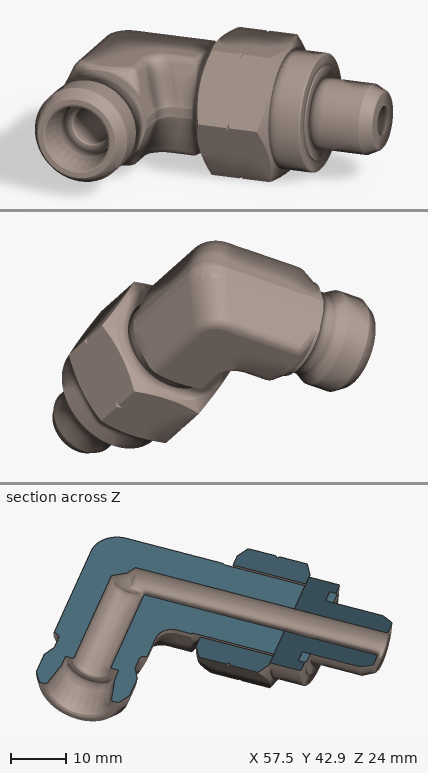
import cadquery as cq
import math


OVERALL_LENGTH = 57.5

BODY_WIDTH = 18.0
BODY_HEIGHT = 19.0
SIDE_FLAT = 1.9
SIDE_LEAN = 20.7
OUTER_CORNER_RADIUS = 5.0
INNER_CORNER_RADIUS = 3.0
LONG_EDGE_RADIUS = 1.7
RUN_SHOULDER_X = 14.95
BRANCH_SHOULDER_Y = -16.9
RUN_NECK_DIAMETER = 17.55
RUN_CHAMFER_ANGLE = 30.0
BRANCH_CHAMFER_ANGLE = 48.0
BRANCH_COLLAR_LENGTH = 0.6
BRANCH_BLEND_RADIUS = 1.7

BRANCH_END_Y = -29.0
THREAD_DIAMETER = 18.0
SPIGOT_NECK_DIAMETER = 15.6
SPIGOT_FILLET = 0.9
SPIGOT_NECK_END_Y = -20.1
THREAD_START_Y = -22.3
THREAD_END_Y = -26.75
SPIGOT_FACE_DIAMETER = 15.05
SPIGOT_FACE_ROUNDING = 0.26
SPIGOT_FLARE_RADIUS = 0.5

SEAT_RIM_DIAMETER = 13.1
SEAT_MOUTH_DIAMETER = 12.3
SEAT_RIM_DEPTH = 0.25
SEAT_FLOOR_DIAMETER = 10.2
SEAT_HALF_ANGLE = 12.0
SEAT_FLOOR_Y = -21.55
BORE_RIM_CHAMFER = 0.25
BRANCH_BORE_DIAMETER = 7.0
RUN_BORE_DIAMETER = 5.5
DRILL_TIP_HALF_ANGLE = 59.0
BRANCH_BORE_STOP_Y = -0.45

NUT_START_X = 16.5
NUT_END_X = 30.6
NUT_ACROSS_FLATS = 24.0
NUT_BORE_DIAMETER = 18.2
NUT_FACE_DIAMETER = 23.0
NUT_CHAMFER_ANGLE = 30.0
NOTCH_DEPTH = 0.43
NOTCH_HALF_WIDTH = 0.35

COLLAR_DIAMETER = 21.95
COLLAR_END_X = 36.5
COLLAR_EDGE_RADIUS = 0.35
STUD_DIAMETER = 13.1
STUD_TIP_DIAMETER = 11.1
STUD_FACE_DIAMETER = 10.6
STUD_FACE_ROUNDING = 0.25
STUD_CHAMFER_START_X = 46.25
STUD_END_X = OVERALL_LENGTH - BODY_WIDTH / 2
SEAL_DIAMETER = 17.4
SEAL_THICKNESS = 1.5
SEAL_PROUD = 0.3

SELECTION_MARGIN = 0.05
CUTTER_RADIUS = 13.8


def turned_on_x(points):
    """Revolve (x, radius) points about the run axis."""
    return cq.Workplane("XY").polyline(points).close().revolve(360, (0, 0), (1, 0))


def turned_on_y(points):
    """Revolve (radius, y) points about the branch axis."""
    return cq.Workplane("XY").polyline(points).close().revolve(360, (0, 0), (0, 1))


def tan_degrees(angle):
    return math.tan(math.radians(angle))


def bend_outline(height, inset):
    """L outline at one height, round at the inner corner, with its sides moved in by the inset."""
    half_width = BODY_WIDTH / 2 - inset
    inner_tangent = half_width + INNER_CORNER_RADIUS
    return (
        cq.Workplane("XY", origin=(0, 0, height))
        .moveTo(-half_width, BRANCH_SHOULDER_Y)
        .lineTo(-half_width, half_width)
        .lineTo(RUN_SHOULDER_X, half_width)
        .lineTo(RUN_SHOULDER_X, -half_width)
        .lineTo(inner_tangent, -half_width)
        .tangentArcPoint((half_width, -inner_tangent), relative=False)
        .lineTo(half_width, BRANCH_SHOULDER_Y)
        .close()
    )


def elbow_bend():
    """L-shaped bend with upright flats, sides leaning in above and below, and rounded long edges."""
    half_height = BODY_HEIGHT / 2
    half_flat = SIDE_FLAT / 2
    top_inset = (half_height - half_flat) * tan_degrees(SIDE_LEAN)
    top_half_width = BODY_WIDTH / 2 - top_inset
    bend = bend_outline(-half_flat, 0).extrude(SIDE_FLAT)
    for side in (-1, 1):
        wide_wire = bend_outline(side * half_flat, 0).val()
        narrow_wire = bend_outline(side * half_height, top_inset).val()
        leaning_part = cq.Solid.makeLoft([wide_wire, narrow_wire], True)
        bend = bend.union(cq.Workplane(obj=leaning_part))
    inside_shoulders = cq.selectors.BoxSelector(
        (-BODY_WIDTH, BRANCH_SHOULDER_Y + SELECTION_MARGIN, -BODY_HEIGHT),
        (RUN_SHOULDER_X - SELECTION_MARGIN, BODY_WIDTH, BODY_HEIGHT),
    )
    outer_miter = cq.selectors.BoxSelector(
        (-BODY_WIDTH, top_half_width / 2, -BODY_HEIGHT / 2),
        (-top_half_width / 2, BODY_WIDTH, BODY_HEIGHT / 2),
    )
    bend = bend.edges("not #Z").edges(outer_miter).fillet(OUTER_CORNER_RADIUS)
    return bend.faces("<Z or >Z").edges(inside_shoulders).fillet(LONG_EDGE_RADIUS)


def run_shoulder_cutter():
    """Conical chamfer around the run end of the bend."""
    neck_radius = RUN_NECK_DIAMETER / 2
    back = (CUTTER_RADIUS - neck_radius) * tan_degrees(RUN_CHAMFER_ANGLE)
    return turned_on_x([
        (RUN_SHOULDER_X, neck_radius),
        (RUN_SHOULDER_X, CUTTER_RADIUS),
        (RUN_SHOULDER_X - back, CUTTER_RADIUS),
    ])


def branch_shoulder_cutter():
    """Short round collar and conical chamfer around the branch end of the bend."""
    collar_radius = THREAD_DIAMETER / 2
    collar_y = BRANCH_SHOULDER_Y + BRANCH_COLLAR_LENGTH
    back = (CUTTER_RADIUS - collar_radius) * tan_degrees(BRANCH_CHAMFER_ANGLE)
    return turned_on_y([
        (collar_radius, BRANCH_SHOULDER_Y),
        (collar_radius, collar_y),
        (CUTTER_RADIUS, collar_y + back),
        (CUTTER_RADIUS, BRANCH_SHOULDER_Y),
    ])


def shouldered_bend():
    """Bend with both ends chamfered and the branch chamfer blended into the top and bottom."""
    bend = elbow_bend().cut(run_shoulder_cutter()).cut(branch_shoulder_cutter())
    beyond_collar = cq.selectors.BoxSelector(
        (-BODY_WIDTH, BRANCH_SHOULDER_Y + BRANCH_COLLAR_LENGTH + SELECTION_MARGIN, -BODY_HEIGHT),
        (BODY_WIDTH, -BODY_WIDTH / 2 - INNER_CORNER_RADIUS, BODY_HEIGHT),
    )
    return bend.faces("%CONE").edges(beyond_collar).fillet(BRANCH_BLEND_RADIUS)


def spigot():
    """Threaded branch end with a narrower neck that flares into the shoulder."""
    neck_radius = SPIGOT_NECK_DIAMETER / 2
    thread_radius = THREAD_DIAMETER / 2
    neck_end = cq.selectors.BoxSelector(
        (-thread_radius, SPIGOT_NECK_END_Y - SELECTION_MARGIN, -thread_radius),
        (thread_radius, SPIGOT_NECK_END_Y + SELECTION_MARGIN, thread_radius),
    )
    return (
        cq.Workplane("XY")
        .moveTo(0, BRANCH_SHOULDER_Y)
        .lineTo(neck_radius + SPIGOT_FILLET, BRANCH_SHOULDER_Y)
        .radiusArc((neck_radius, BRANCH_SHOULDER_Y - SPIGOT_FILLET), -SPIGOT_FILLET)
        .lineTo(neck_radius, SPIGOT_NECK_END_Y)
        .lineTo(thread_radius, THREAD_START_Y)
        .lineTo(thread_radius, THREAD_END_Y)
        .lineTo(neck_radius, BRANCH_END_Y + SPIGOT_FACE_ROUNDING)
        .lineTo(SPIGOT_FACE_DIAMETER / 2, BRANCH_END_Y)
        .lineTo(0, BRANCH_END_Y)
        .close()
        .revolve(360, (0, 0), (0, 1))
        .edges(neck_end)
        .fillet(SPIGOT_FLARE_RADIUS)
    )


def branch_bore():
    """Tapered tube seat followed by a drilled bore with a conical tip."""
    mouth_radius = SEAT_MOUTH_DIAMETER / 2
    floor_radius = SEAT_FLOOR_DIAMETER / 2
    bore_radius = BRANCH_BORE_DIAMETER / 2
    mouth_y = BRANCH_END_Y + SEAT_RIM_DEPTH
    taper_end_y = mouth_y + (mouth_radius - floor_radius) / tan_degrees(SEAT_HALF_ANGLE)
    tip_y = BRANCH_BORE_STOP_Y + bore_radius / tan_degrees(DRILL_TIP_HALF_ANGLE)
    return turned_on_y([
        (0, BRANCH_END_Y),
        (SEAT_RIM_DIAMETER / 2, BRANCH_END_Y),
        (mouth_radius, mouth_y),
        (floor_radius, taper_end_y),
        (floor_radius, SEAT_FLOOR_Y),
        (bore_radius + BORE_RIM_CHAMFER, SEAT_FLOOR_Y),
        (bore_radius, SEAT_FLOOR_Y + BORE_RIM_CHAMFER),
        (bore_radius, BRANCH_BORE_STOP_Y),
        (0, tip_y),
    ])


def run_bore():
    """Drilled bore from the stud end to the branch axis, with a conical tip."""
    bore_radius = RUN_BORE_DIAMETER / 2
    return turned_on_x([
        (-bore_radius / tan_degrees(DRILL_TIP_HALF_ANGLE), 0),
        (0, bore_radius),
        (STUD_END_X, bore_radius),
        (STUD_END_X, 0),
    ])


def make_elbow():
    neck = (
        cq.Workplane("YZ", origin=(RUN_SHOULDER_X, 0, 0))
        .circle(RUN_NECK_DIAMETER / 2)
        .extrude(NUT_END_X - RUN_SHOULDER_X)
    )
    return (
        shouldered_bend()
        .union(neck)
        .union(spigot())
        .cut(branch_bore())
        .cut(run_bore())
    )


def make_nut():
    """Bored hexagon nut with chamfered ends and a V notch across the middle of each corner."""
    corner_radius = NUT_ACROSS_FLATS / math.sqrt(3)
    face_radius = NUT_FACE_DIAMETER / 2
    chamfer_length = (corner_radius - face_radius) * tan_degrees(NUT_CHAMFER_ANGLE)
    notch_x = (NUT_START_X + NUT_END_X) / 2
    envelope = turned_on_x([
        (NUT_START_X, 0),
        (NUT_START_X, face_radius),
        (NUT_START_X + chamfer_length, corner_radius),
        (notch_x - NOTCH_HALF_WIDTH, corner_radius),
        (notch_x, corner_radius - NOTCH_DEPTH),
        (notch_x + NOTCH_HALF_WIDTH, corner_radius),
        (NUT_END_X - chamfer_length, corner_radius),
        (NUT_END_X, face_radius),
        (NUT_END_X, 0),
    ])
    return (
        cq.Workplane("YZ", origin=(NUT_START_X, 0, 0))
        .polygon(6, 2 * corner_radius)
        .circle(NUT_BORE_DIAMETER / 2)
        .extrude(NUT_END_X - NUT_START_X)
        .intersect(envelope)
    )


def make_seal_ring():
    """Flat ring around the stud, standing slightly proud of the collar."""
    return (
        cq.Workplane("YZ", origin=(COLLAR_END_X + SEAL_PROUD - SEAL_THICKNESS, 0, 0))
        .circle(SEAL_DIAMETER / 2)
        .circle(STUD_DIAMETER / 2)
        .extrude(SEAL_THICKNESS)
    )


def make_stud():
    """Collared stud with a chamfered tip and a recess for the seal ring."""
    collar = (
        cq.Workplane("YZ", origin=(NUT_END_X, 0, 0))
        .circle(COLLAR_DIAMETER / 2)
        .extrude(COLLAR_END_X - NUT_END_X)
        .faces(">X")
        .edges()
        .fillet(COLLAR_EDGE_RADIUS)
    )
    shank = turned_on_x([
        (NUT_END_X, 0),
        (NUT_END_X, STUD_DIAMETER / 2),
        (STUD_CHAMFER_START_X, STUD_DIAMETER / 2),
        (STUD_END_X - STUD_FACE_ROUNDING, STUD_TIP_DIAMETER / 2),
        (STUD_END_X, STUD_FACE_DIAMETER / 2),
        (STUD_END_X, 0),
    ])
    return collar.union(shank).cut(make_seal_ring()).cut(run_bore())


elbow = make_elbow()
nut = make_nut()
stud = make_stud()
seal_ring = make_seal_ring()

result = cq.Compound.makeCompound([
    elbow.val(),
    nut.val(),
    stud.val(),
    seal_ring.val(),
])